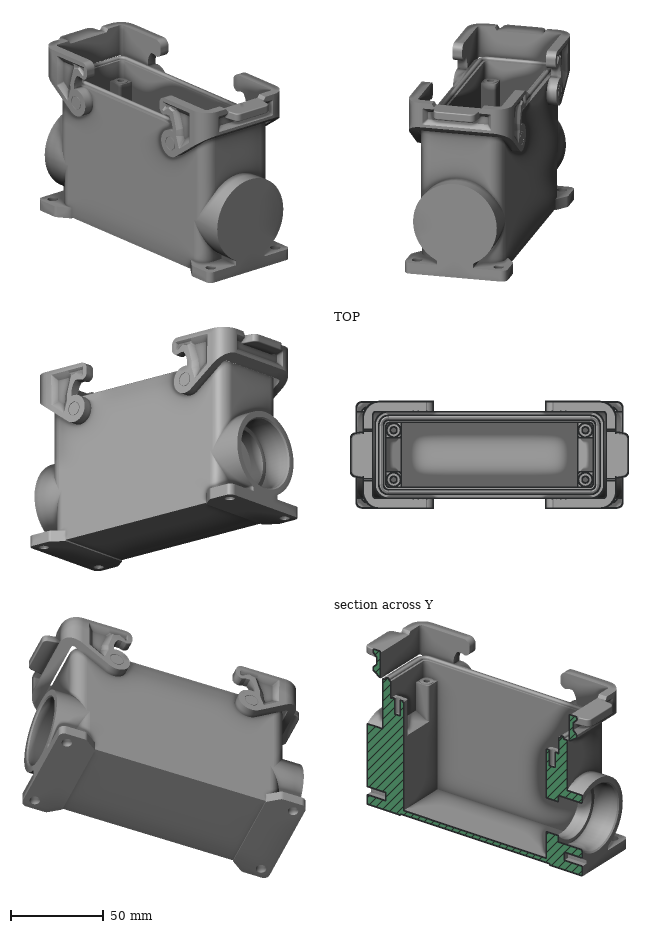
import cadquery as cq
import math

LENGTH = 150.5
LEVER_WIDTH = 58.0
HEIGHT = 96.9

BODY_HALF_LENGTH = 62.0
LOWER_BODY_HALF_LENGTH = 60.0
BODY_HALF_WIDTH = 23.5
BODY_CORNER_RADIUS = 7.2
BODY_BOTTOM = 0.8
SHOULDER_Z = 79.9
RIM_TOP = 81.4

BEAD_OUTER_INSET = 2.1
BEAD_INNER_INSET = 4.7
BEAD_EDGE_RADIUS = 1.2
WALL_THICKNESS = 5.9
CAVITY_CORNER_RADIUS = 2.3

FLOOR_Z = 3.8
CAVITY_HALF_LENGTH = BODY_HALF_LENGTH - WALL_THICKNESS
CAVITY_HALF_WIDTH = BODY_HALF_WIDTH - WALL_THICKNESS
END_BLOCK_X = 47.7
END_BLOCK_TOP = 52.7
END_BLOCK_SLOPE_DROP = 4.5

POST_TOP = 69.8
POST_SIZE = CAVITY_HALF_LENGTH - END_BLOCK_X
POST_CORNER_RADIUS = 1.5
POST_RING_RADIUS = 3.8
POST_RING_HEIGHT = 0.5
POST_HOLE_RADIUS = 1.8
POST_HOLE_DEPTH = 9.0

BOSS_Z = 30.1
BOSS_RADIUS = BODY_HALF_WIDTH
BOSS_END_X = 72.2
BOSS_ROOT_X = 52.7
ENTRY_RADIUS = 19.4
ENTRY_STEP_X = 56.1
ENTRY_CHAMFER = 0.8
INNER_BORE_RADIUS = 16.9
WEB_HALF_WIDTH = 10.1
WEB_FILLET_RADIUS = 1.2

FOOT_THICKNESS = 6.2
FOOT_HALF_WIDTH = 28.7
FOOT_TAPER_X = 57.2
FOOT_INNER_X = 50.0
FOOT_CORNER_RADIUS = 3.3
FOOT_TAPER_RADIUS = 3.0
FOOT_HOLE_X = 66.2
FOOT_HOLE_Y = 22.9
FOOT_HOLE_RADIUS = 2.9

LEVER_END_X = 68.5
LEVER_END_WALL = 5.3
LEVER_HALF_WIDTH = LEVER_WIDTH / 2
LEVER_OUTER_RADIUS = 9.0
LEVER_INNER_RADIUS = 1.8
HOOK_TIP_X = 30.4
HOOK_TOP_RADIUS = 3.9
HOOK_TIP_RADIUS = 3.5
HOOK_BOTTOM = 87.1
HOOK_THROAT_X = 41.2
PIVOT_X = 39.5
PIVOT_Z = 72.0
PIVOT_RADIUS = 7.7
PIN_RADIUS = 3.9
PIN_GROOVE_WIDTH = 0.3
PIN_GROOVE_DEPTH = 0.5
LEVER_SLOPE = math.radians(35.3)
RECESS_DEPTH = 2.4
RECESS_CORNER_RADIUS = 0.9

TAB_TOP = 95.1
TAB_BOTTOM = 90.6
TAB_TIP_HALF_WIDTH = 11.5
TAB_ROOT_HALF_WIDTH = 13.2
TAB_CORNER_RADIUS = 3.0
TAB_EDGE_RADIUS = 0.6
NOTCH_TOP_HALF_WIDTH = 14.0
NOTCH_BOTTOM_HALF_WIDTH = 12.8


def block(x0, x1, y0, y1, z0, z1):
    """Axis-aligned box between two opposite corners."""
    return cq.Workplane("XY").box(x1 - x0, y1 - y0, z1 - z0, centered=False).translate((x0, y0, z0))


def rounded_block(half_length, half_width, radius, z0, z1):
    """Centred box with rounded vertical edges."""
    return block(-half_length, half_length, -half_width, half_width, z0, z1).edges("|Z").fillet(radius)


def x_cylinder(radius, x0, x1):
    """Cylinder on the cable entry axis."""
    return cq.Workplane("YZ", origin=(x0, 0, BOSS_Z)).circle(radius).extrude(x1 - x0)


def mirrored(solid, plane):
    """Solid joined with its mirror image."""
    return solid.union(solid.mirror(plane))


def body_outside():
    lower = rounded_block(
        LOWER_BODY_HALF_LENGTH, BODY_HALF_WIDTH, BODY_CORNER_RADIUS, BODY_BOTTOM, BOSS_Z
    )
    upper = rounded_block(BODY_HALF_LENGTH, BODY_HALF_WIDTH, BODY_CORNER_RADIUS, BOSS_Z, SHOULDER_Z)
    return lower.union(upper)


def sealing_bead():
    """Rounded bead that runs around the rim."""
    def inset_block(inset):
        return rounded_block(
            BODY_HALF_LENGTH - inset, BODY_HALF_WIDTH - inset, BODY_CORNER_RADIUS - inset,
            SHOULDER_Z, RIM_TOP,
        )

    bead = inset_block(BEAD_OUTER_INSET).cut(inset_block(BEAD_INNER_INSET))
    return bead.faces(">Z").edges().fillet(BEAD_EDGE_RADIUS)


def cavity():
    return rounded_block(
        CAVITY_HALF_LENGTH, CAVITY_HALF_WIDTH, CAVITY_CORNER_RADIUS, FLOOR_Z, RIM_TOP
    )


def end_block():
    """Thick lower end wall with a sloping top, between the posts at the -X end."""
    profile = [
        (-BODY_HALF_LENGTH + WALL_THICKNESS / 2, FLOOR_Z),
        (-END_BLOCK_X, FLOOR_Z),
        (-END_BLOCK_X, END_BLOCK_TOP - END_BLOCK_SLOPE_DROP),
        (-CAVITY_HALF_LENGTH, END_BLOCK_TOP),
        (-BODY_HALF_LENGTH + WALL_THICKNESS / 2, END_BLOCK_TOP),
    ]
    return cq.Workplane("XZ").polyline(profile).close().extrude(CAVITY_HALF_WIDTH, both=True)


def post():
    """Screw post in the -X, +Y corner of the cavity."""
    x = -END_BLOCK_X - POST_SIZE / 2
    y = CAVITY_HALF_WIDTH - POST_SIZE / 2
    column = block(
        -CAVITY_HALF_LENGTH - 1.5, -END_BLOCK_X,
        CAVITY_HALF_WIDTH - POST_SIZE, CAVITY_HALF_WIDTH + 1.5,
        FLOOR_Z, POST_TOP,
    )
    column = column.edges("|Z and >X and <Y").fillet(POST_CORNER_RADIUS)
    top = cq.Workplane("XY", origin=(x, y, POST_TOP))
    ring = top.circle(POST_RING_RADIUS).extrude(POST_RING_HEIGHT)
    hole = top.circle(POST_HOLE_RADIUS).extrude(2 * POST_HOLE_DEPTH, both=True)
    hole = hole.intersect(block(x - 7.5, x + 7.5, y - 7.5, y + 7.5, POST_TOP - POST_HOLE_DEPTH, HEIGHT))
    return column.union(ring).cut(hole)


def foot():
    """Mounting foot at the -X end, with the web that carries the boss."""
    half = [
        (-BOSS_END_X, FOOT_HALF_WIDTH),
        (-FOOT_TAPER_X, FOOT_HALF_WIDTH),
        (-FOOT_INNER_X, BODY_HALF_WIDTH),
    ]
    outline = half + [(x, -y) for x, y in reversed(half)]
    plate = cq.Workplane("XY").polyline(outline).close().extrude(FOOT_THICKNESS)
    plate = plate.edges("|Z and <X").fillet(FOOT_CORNER_RADIUS)
    taper_corners = cq.selectors.BoxSelector(
        (-FOOT_TAPER_X - 1.5, -FOOT_HALF_WIDTH - 1.5, 0),
        (-FOOT_TAPER_X + 1.5, FOOT_HALF_WIDTH + 1.5, FOOT_THICKNESS),
    )
    plate = plate.edges("|Z").edges(taper_corners).fillet(FOOT_TAPER_RADIUS)
    holes = [(-FOOT_HOLE_X, -FOOT_HOLE_Y), (-FOOT_HOLE_X, FOOT_HOLE_Y)]
    plate = plate.cut(
        cq.Workplane("XY").pushPoints(holes).circle(FOOT_HOLE_RADIUS).extrude(FOOT_THICKNESS)
    )
    web = block(-BOSS_END_X, -BOSS_ROOT_X, -WEB_HALF_WIDTH, WEB_HALF_WIDTH, 0, BOSS_Z / 2)
    return plate.union(web)


def boss_on_foot():
    """Cable entry boss joined to its foot, filleted where the web meets the boss."""
    boss = x_cylinder(BOSS_RADIUS, -BOSS_END_X, -BOSS_ROOT_X)
    joint_z = BOSS_Z - math.sqrt(BOSS_RADIUS**2 - WEB_HALF_WIDTH**2)
    joints = cq.selectors.BoxSelector(
        (-BOSS_END_X, -WEB_HALF_WIDTH - 0.2, joint_z - 0.2),
        (-BOSS_ROOT_X, WEB_HALF_WIDTH + 0.2, joint_z + 0.2),
    )
    return boss.union(foot()).edges("|X").edges(joints).fillet(WEB_FILLET_RADIUS)


def cable_entry():
    """Stepped bore from the -X boss face into the cavity."""
    outer = x_cylinder(ENTRY_RADIUS, -BOSS_END_X, -ENTRY_STEP_X)
    inner = x_cylinder(INNER_BORE_RADIUS, -ENTRY_STEP_X, -END_BLOCK_X)
    mouth = cq.Solid.makeCone(
        ENTRY_RADIUS + ENTRY_CHAMFER, ENTRY_RADIUS, ENTRY_CHAMFER,
        cq.Vector(-BOSS_END_X, 0, BOSS_Z), cq.Vector(1, 0, 0),
    )
    return outer.union(inner).union(cq.Workplane(mouth))


def lever_profile():
    """Side outline of the lever: end wall, sloping lower edge, pivot eye and hook."""
    tangent_x = -PIVOT_X - PIVOT_RADIUS * math.sin(LEVER_SLOPE)
    tangent_z = PIVOT_Z - PIVOT_RADIUS * math.cos(LEVER_SLOPE)
    corner_z = tangent_z + (LEVER_END_X + tangent_x) * math.tan(LEVER_SLOPE)
    throat_offset = HOOK_THROAT_X - PIVOT_X
    eye_top = PIVOT_Z + math.sqrt(PIVOT_RADIUS**2 - throat_offset**2)
    diagonal = math.sqrt(0.5)
    hook_bend = (-38.5, 87.9)
    tip_center = (-HOOK_TIP_X - HOOK_TIP_RADIUS, HOOK_BOTTOM + HOOK_TIP_RADIUS)
    top_center = (-HOOK_TIP_X - HOOK_TOP_RADIUS, HEIGHT - HOOK_TOP_RADIUS)
    return (
        cq.Workplane("XZ")
        .moveTo(-LEVER_END_X, HEIGHT)
        .lineTo(-LEVER_END_X, corner_z)
        .lineTo(tangent_x, tangent_z)
        .threePointArc((-PIVOT_X + PIVOT_RADIUS, PIVOT_Z), (-HOOK_THROAT_X, eye_top))
        .lineTo(-HOOK_THROAT_X, eye_top + 1.5)
        .threePointArc((-40.5, 84.7), hook_bend)
        .lineTo(-36.3, hook_bend[1])
        .lineTo(tip_center[0], HOOK_BOTTOM)
        .threePointArc(
            (tip_center[0] + HOOK_TIP_RADIUS * diagonal, tip_center[1] - HOOK_TIP_RADIUS * diagonal),
            (-HOOK_TIP_X, tip_center[1]),
        )
        .lineTo(-HOOK_TIP_X, top_center[1])
        .threePointArc(
            (top_center[0] + HOOK_TOP_RADIUS * diagonal, top_center[1] + HOOK_TOP_RADIUS * diagonal),
            (top_center[0], HEIGHT),
        )
        .close()
    )


def sloped_pocket(plane, origin, mouth, floor, depth):
    """Pocket with sloping sides between a mouth outline and a smaller floor outline."""
    return (
        cq.Workplane(plane, origin=origin)
        .polyline(mouth)
        .close()
        .workplane(offset=-depth)
        .polyline(floor)
        .close()
        .loft(ruled=True, combine=True)
    )


def arm_pocket():
    """Sloped-wall pocket in the outer face of the -Y lever arm."""
    mouth = [(-55.7, 94.5), (-40.6, 94.5), (-44.4, 81.1), (-44.2, 77.8), (-46.7, 70.9), (-55.4, 77.4)]
    floor = [(-52.7, 91.2), (-44.2, 91.2), (-47.3, 82.5), (-47.7, 78.3), (-48.5, 76.3), (-52.7, 79.6)]
    face = (0, -LEVER_HALF_WIDTH, 0)
    main = sloped_pocket("XZ", face, mouth, floor, RECESS_DEPTH)
    main = main.edges("not #Y").fillet(RECESS_CORNER_RADIUS)
    hook_mouth = [(-43.6, 94.5), (-32.8, 94.5), (-32.8, 89.7), (-34.0, 89.2), (-38.0, 92.1), (-41.2, 90.9)]
    hook_floor = [(-43.6, 93.3), (-33.7, 93.3), (-33.7, 91.8), (-34.5, 91.5), (-38.0, 92.9), (-42.5, 91.2)]
    return main.union(sloped_pocket("XZ", face, hook_mouth, hook_floor, RECESS_DEPTH / 2))


def end_recess():
    """Sloped-wall recess in the end wall of the lever, behind the finger tab."""
    def rectangle(half_width, bottom, top):
        return [(-half_width, bottom), (half_width, bottom), (half_width, top), (-half_width, top)]

    pocket = (
        cq.Workplane("YZ", origin=(-LEVER_END_X, 0, 0))
        .polyline(rectangle(19.3, 84.7, 93.9))
        .close()
        .workplane(offset=RECESS_DEPTH)
        .polyline(rectangle(16.9, 87.1, 91.5))
        .close()
        .loft(ruled=True, combine=True)
    )
    return pocket.edges("not #X").fillet(RECESS_CORNER_RADIUS)


def tab_notch():
    """Notch with sloping sides in the top of the end wall, level with the finger tab."""
    profile = [
        (-NOTCH_BOTTOM_HALF_WIDTH, TAB_TOP),
        (NOTCH_BOTTOM_HALF_WIDTH, TAB_TOP),
        (NOTCH_TOP_HALF_WIDTH, HEIGHT),
        (-NOTCH_TOP_HALF_WIDTH, HEIGHT),
    ]
    notch = cq.Workplane("YZ", origin=(-LEVER_END_X, 0, 0)).polyline(profile).close()
    return notch.extrude(LEVER_END_WALL)


def finger_tab():
    root_x = -LEVER_END_X + LEVER_END_WALL
    outline = [
        (root_x, -TAB_ROOT_HALF_WIDTH),
        (root_x, TAB_ROOT_HALF_WIDTH),
        (-LENGTH / 2, TAB_TIP_HALF_WIDTH),
        (-LENGTH / 2, -TAB_TIP_HALF_WIDTH),
    ]
    tab = cq.Workplane("XY", origin=(0, 0, TAB_BOTTOM)).polyline(outline).close()
    tab = tab.extrude(TAB_TOP - TAB_BOTTOM)
    tab = tab.edges("|Z and <X").fillet(TAB_CORNER_RADIUS)
    return tab.faces("<X").edges("|Y").fillet(TAB_EDGE_RADIUS)


def lever():
    """U-shaped locking lever at the -X end."""
    shape = lever_profile().extrude(LEVER_HALF_WIDTH, both=True)
    plan = block(-LEVER_END_X, 0, -LEVER_HALF_WIDTH, LEVER_HALF_WIDTH, 0, HEIGHT)
    shape = shape.intersect(plan.edges("|Z and <X").fillet(LEVER_OUTER_RADIUS))
    inside = block(-LEVER_END_X + LEVER_END_WALL, 0, -BODY_HALF_WIDTH, BODY_HALF_WIDTH, 0, HEIGHT)
    shape = shape.cut(inside.edges("|Z and <X").fillet(LEVER_INNER_RADIUS))

    pin_groove = (
        cq.Workplane("XZ", origin=(-PIVOT_X, -LEVER_HALF_WIDTH, PIVOT_Z))
        .circle(PIN_RADIUS)
        .circle(PIN_RADIUS - PIN_GROOVE_WIDTH)
        .extrude(-PIN_GROOVE_DEPTH)
    )
    for cutter in (arm_pocket(), pin_groove):
        shape = shape.cut(cutter).cut(cutter.mirror("XZ"))

    return shape.cut(end_recess()).cut(tab_notch()).union(finger_tab())


outside = body_outside().union(mirrored(boss_on_foot(), "YZ"))
inside_fill = mirrored(end_block().union(mirrored(post(), "XZ")), "YZ")

result = outside.cut(cavity()).union(sealing_bead())
result = result.union(inside_fill).cut(cable_entry())
result = result.union(mirrored(lever(), "YZ"))